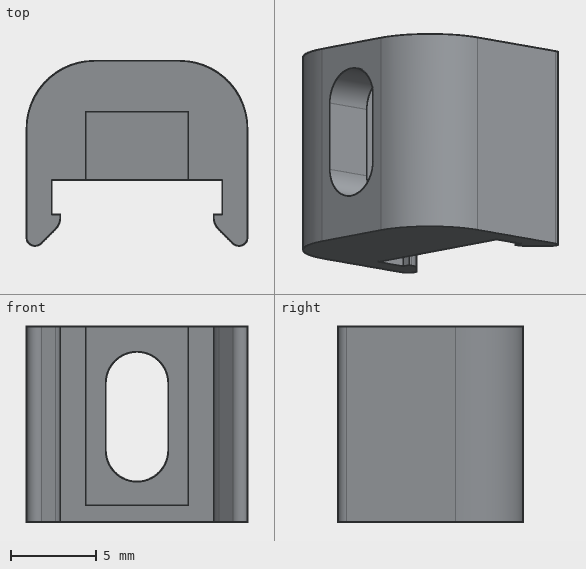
import cadquery as cq
import math

width = 13.0
depth = 10.9
height = 11.5
back_corner_radius = 4.0

arm_thickness = 1.5
back_thickness = 7.02
lip_overhang = 0.51
lip_offset = 9.04
lip_radius = 1.0
tip_radius = 0.51

pocket_width = 6.05
pocket_wall = 3.02
pocket_floor = 0.99

slot_width = 3.65
slot_length = 7.62
slot_center_z = 6.2

half_width = width / 2
back_y = depth / 2
channel_y = back_y - back_thickness
lip_y = back_y - lip_offset
arm_inner_x = half_width - arm_thickness
lip_x = arm_inner_x - lip_overhang

apex_y = -depth / 2 - tip_radius * math.sqrt(2)
lip_corner_y = apex_y + half_width - lip_x


def vertical_edges_at(body, x, y):
    """Select the pair of mirrored full-height edges at (+x, y) and (-x, y)."""
    reach = 0.01

    def box(side):
        return cq.selectors.BoxSelector(
            (side * x - reach, y - reach, -reach),
            (side * x + reach, y + reach, height + reach),
            boundingbox=True,
        )

    return body.edges(box(1) + box(-1)).edges("|Z")


def make_clip_body():
    right_half = [
        (half_width, back_y),
        (half_width, apex_y),
        (lip_x, lip_corner_y),
        (lip_x, lip_y),
        (arm_inner_x, lip_y),
        (arm_inner_x, channel_y),
    ]
    left_half = [(-x, y) for x, y in reversed(right_half)]
    body = cq.Workplane("XY").polyline(right_half + left_half).close().extrude(height)
    body = vertical_edges_at(body, half_width, back_y).fillet(back_corner_radius)
    body = vertical_edges_at(body, half_width, apex_y).fillet(tip_radius)
    return vertical_edges_at(body, lip_x, lip_corner_y).fillet(lip_radius)


def make_pocket():
    pocket_depth = back_thickness - pocket_wall
    return (
        cq.Workplane("XY", origin=(0, channel_y + pocket_depth / 2, pocket_floor))
        .rect(pocket_width, pocket_depth)
        .extrude(height - pocket_floor)
    )


def make_slot():
    return (
        cq.Workplane("XZ", origin=(0, back_y, slot_center_z))
        .slot2D(slot_length, slot_width, 90)
        .extrude(back_thickness)
    )


result = make_clip_body().cut(make_pocket()).cut(make_slot())